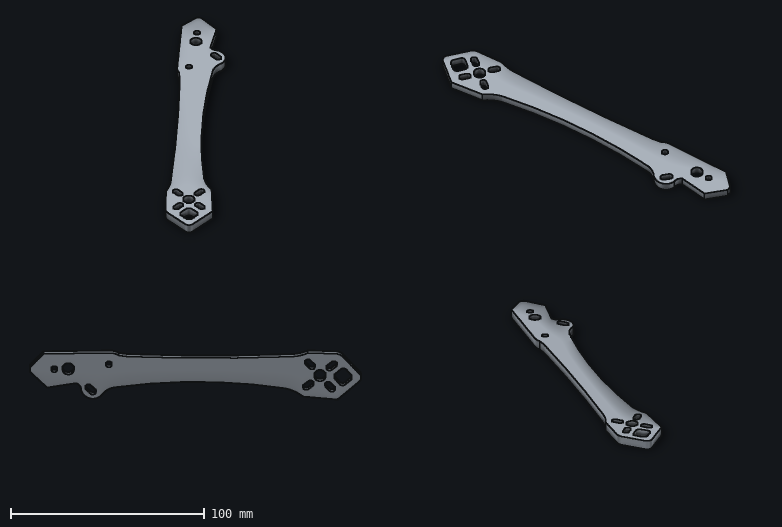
import cadquery as cq
import math

width = 118.0
thickness = 5.0
large_hole_diameter = 6.0
slot_width = 3.3

root_corner_chamfer = 1.7
root_left_y = 106.1
root_top_x = 14.0
root_notch = (23.2, 105.8)
lug_center = (30.8, 101.3)
lug_radius = 6.4
lug_start_angle = 120.0
pivot_hole = (14.9, 103.1)
screw_holes = [(9.8, 108.3), (28.4, 86.8)]
screw_hole_diameter = 3.2
lug_slot_center = (31.0, 103.1)
lug_slot_length = 6.4

motor_center = (111.5, 15.5)
motor_tilt = 5.5
motor_slot_leans = [2.0, 8.0, 2.0, 8.0]
motor_slot_radius = 8.0
motor_slot_length = 6.2
window_center = (120.6, 7.8)
window_size = 7.7
window_round = 2.0
tip_corner = (128.7, 0.9)
tip_corner_round = 2.8
heel_corner = (111.0, -0.1)
heel_corner_round = 5.1


def point_on_lug(angle):
    """Point on the lug's rounded rim at an angle in degrees from +X."""
    turn = math.radians(angle)
    return (
        lug_center[0] + lug_radius * math.cos(turn),
        lug_center[1] + lug_radius * math.sin(turn),
    )


def make_plate():
    """Outline followed clockwise from the left edge of the root."""
    plate = (
        cq.Workplane("XY")
        .moveTo(0, root_left_y)
        .lineTo(0, width - root_corner_chamfer)
        .lineTo(root_corner_chamfer, width)
        .lineTo(root_top_x, width)
        .lineTo(*root_notch)
        .threePointArc((24.8, 105.6), point_on_lug(lug_start_angle))
        .threePointArc(point_on_lug(60), point_on_lug(0))
        .threePointArc((37.5, 97.0), (39.5, 93.2))
        .threePointArc((72.6, 57.7), (103.3, 33.0))
        .threePointArc((108.0, 30.8), (113.0, 29.8))
        .lineTo(127.0, 18.6)
        .lineTo(*tip_corner)
        .lineTo(*heel_corner)
        .lineTo(98.5, 11.0)
        .threePointArc((96.5, 15.0), (93.9, 18.2))
        .threePointArc((64.2, 47.8), (32.5, 77.0))
        .lineTo(28.8, 79.8)
        .threePointArc((26.6, 80.5), (24.7, 82.0))
        .close()
        .extrude(thickness)
    )
    plate = round_corner(plate, tip_corner, tip_corner_round)
    return round_corner(plate, heel_corner, heel_corner_round)


def round_corner(plate, corner, radius):
    """Fillet the upright edge nearest an outline corner."""
    nearest = cq.selectors.NearestToPointSelector((*corner, thickness / 2))
    return plate.edges("|Z").edges(nearest).fillet(radius)


def round_hole(center, diameter):
    return cq.Workplane("XY").center(*center).circle(diameter / 2).extrude(thickness)


def slot(center, slot_length, angle=0):
    return cq.Workplane("XY").center(*center).slot2D(slot_length, slot_width, angle).extrude(thickness)


def motor_slot(index):
    """One of four slots spaced evenly around the motor shaft hole."""
    quarter_turn = index * 90
    turn = math.radians(motor_tilt + quarter_turn)
    center = (
        motor_center[0] + motor_slot_radius * math.cos(turn),
        motor_center[1] + motor_slot_radius * math.sin(turn),
    )
    return slot(center, motor_slot_length, quarter_turn + motor_slot_leans[index])


def motor_window():
    """Rounded square opening aligned with the motor slots."""
    return (
        cq.Workplane("XY")
        .rect(window_size, window_size)
        .extrude(thickness)
        .edges("|Z")
        .fillet(window_round)
        .rotate((0, 0, 0), (0, 0, 1), motor_tilt)
        .translate((*window_center, 0))
    )


result = make_plate()
result = result.cut(round_hole(pivot_hole, large_hole_diameter))
for screw_hole in screw_holes:
    result = result.cut(round_hole(screw_hole, screw_hole_diameter))
result = result.cut(slot(lug_slot_center, lug_slot_length))

result = result.cut(round_hole(motor_center, large_hole_diameter))
for slot_index in range(len(motor_slot_leans)):
    result = result.cut(motor_slot(slot_index))
result = result.cut(motor_window())